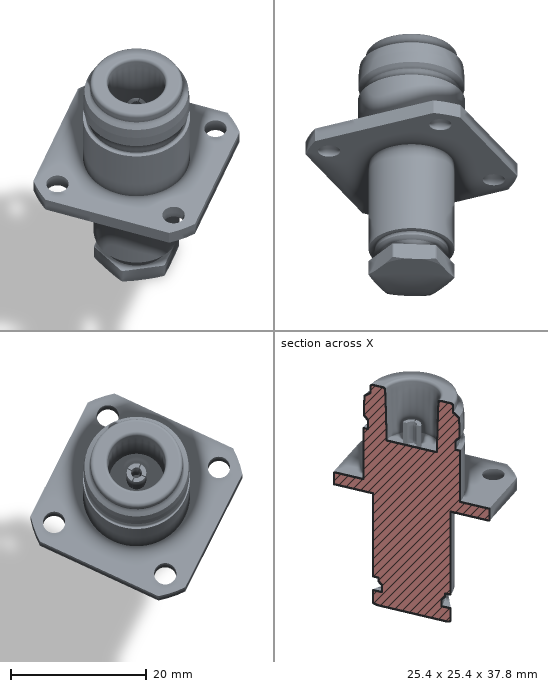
import cadquery as cq
import math


total_length = 37.82
lip_depth = 1.52
shoulder_depth = 2.2
taper_end_depth = 3.8
thread_end_depth = 5.6
relief_start_depth = 6.3
body_top_depth = 7.8
flange_top_depth = 16.6
flange_thickness = 2.15
barrel_end_depth = 33.05
nut_height = 2.5
nut_collar_height = 0.55

lip_radius = 6.8
lip_fillet = 0.5
shoulder_radius = 7.7
thread_radius = 7.85
relief_radius = 7.17
body_radius = 7.94
barrel_radius = 6.35
nut_collar_radius = 5.47
nut_neck_radius = 4.9

bore_mouth_radius = 4.3
bore_mouth_fillet = 0.45
bore_floor_radius = 4.07
bore_depth = 9.0
contact_radius = 1.45
contact_top_depth = 5.3
contact_hole_radius = 0.8
contact_slot_width = 0.15

flange_width = 25.4
flange_corner_radius = 16.0
mounting_hole_spacing = 18.26
mounting_hole_diameter = 3.3

nut_across_flats = 11.1
nut_corner_radius = 6.35
nut_chamfer_height = 0.2
nut_end_radius = 5.65

top_z = total_length
flange_top_z = top_z - flange_top_depth
barrel_end_z = top_z - barrel_end_depth
bore_floor_z = top_z - bore_depth
sin_45 = math.sin(math.radians(45))


def turned_body():
    """Outer profile from the nut neck up to the lip, revolved about Z."""
    collar_end_z = barrel_end_z - nut_collar_height
    collar_chamfer = nut_collar_radius - nut_neck_radius
    fillet_centre_radius = lip_radius - lip_fillet
    fillet_centre_z = top_z - lip_fillet
    return (
        cq.Workplane("XZ")
        .moveTo(0, nut_height)
        .lineTo(nut_neck_radius, nut_height)
        .lineTo(nut_neck_radius, collar_end_z - collar_chamfer)
        .lineTo(nut_collar_radius, collar_end_z)
        .lineTo(nut_collar_radius, barrel_end_z)
        .lineTo(barrel_radius, barrel_end_z)
        .lineTo(barrel_radius, flange_top_z)
        .lineTo(body_radius, flange_top_z)
        .lineTo(body_radius, top_z - body_top_depth)
        .lineTo(relief_radius, top_z - body_top_depth)
        .lineTo(relief_radius, top_z - relief_start_depth)
        .lineTo(thread_radius, top_z - thread_end_depth)
        .lineTo(thread_radius, top_z - taper_end_depth)
        .lineTo(shoulder_radius, top_z - shoulder_depth)
        .lineTo(lip_radius, top_z - lip_depth)
        .lineTo(lip_radius, fillet_centre_z)
        .threePointArc(
            (fillet_centre_radius + lip_fillet * sin_45, fillet_centre_z + lip_fillet * sin_45),
            (fillet_centre_radius, top_z),
        )
        .lineTo(0, top_z)
        .close()
        .revolve(360, (0, 0, 0), (0, 1, 0))
    )


def mating_bore():
    """Blind bore with a rounded mouth, narrowing slightly towards its floor."""
    fillet_centre_radius = bore_mouth_radius + bore_mouth_fillet
    fillet_centre_z = top_z - bore_mouth_fillet
    return (
        cq.Workplane("XZ")
        .moveTo(0, bore_floor_z)
        .lineTo(bore_floor_radius, bore_floor_z)
        .lineTo(bore_mouth_radius, fillet_centre_z)
        .threePointArc(
            (
                fillet_centre_radius - bore_mouth_fillet * sin_45,
                fillet_centre_z + bore_mouth_fillet * sin_45,
            ),
            (fillet_centre_radius, top_z),
        )
        .lineTo(0, top_z)
        .close()
        .revolve(360, (0, 0, 0), (0, 1, 0))
    )


def contact():
    """Tubular contact on the bore floor, split into four fingers by two crossed slots."""
    height = bore_depth - contact_top_depth
    floor = cq.Workplane("XY", origin=(0, 0, bore_floor_z))
    tube = floor.circle(contact_radius).circle(contact_hole_radius).extrude(height)
    slot_length = 2 * contact_radius + contact_slot_width
    for angle in (0, 90):
        slot = floor.transformed(rotate=(0, 0, angle)).rect(slot_length, contact_slot_width).extrude(height)
        tube = tube.cut(slot)
    return tube


def flange():
    """Square plate with corners turned to a common circle and a hole near each corner."""
    base = cq.Workplane("XY", origin=(0, 0, flange_top_z - flange_thickness))
    turned_disc = base.circle(flange_corner_radius).extrude(flange_thickness)
    return (
        base.rect(flange_width, flange_width)
        .extrude(flange_thickness)
        .intersect(turned_disc)
        .faces(">Z")
        .workplane()
        .rect(mounting_hole_spacing, mounting_hole_spacing, forConstruction=True)
        .vertices()
        .hole(mounting_hole_diameter)
    )


def clamp_nut():
    """Hexagon with flats facing +X and -X, its corners turned down and its lower end chamfered."""
    across_corners = nut_across_flats / math.cos(math.radians(30))
    hexagon = cq.Workplane("XY").polygon(6, across_corners).extrude(nut_height)
    hexagon = hexagon.rotate((0, 0, 0), (0, 0, 1), 30)
    blank = (
        cq.Workplane("XZ")
        .moveTo(0, 0)
        .lineTo(nut_end_radius, 0)
        .lineTo(nut_corner_radius, nut_chamfer_height)
        .lineTo(nut_corner_radius, nut_height)
        .lineTo(0, nut_height)
        .close()
        .revolve(360, (0, 0, 0), (0, 1, 0))
    )
    return hexagon.intersect(blank)


result = turned_body().union(flange()).union(clamp_nut()).cut(mating_bore()).union(contact())